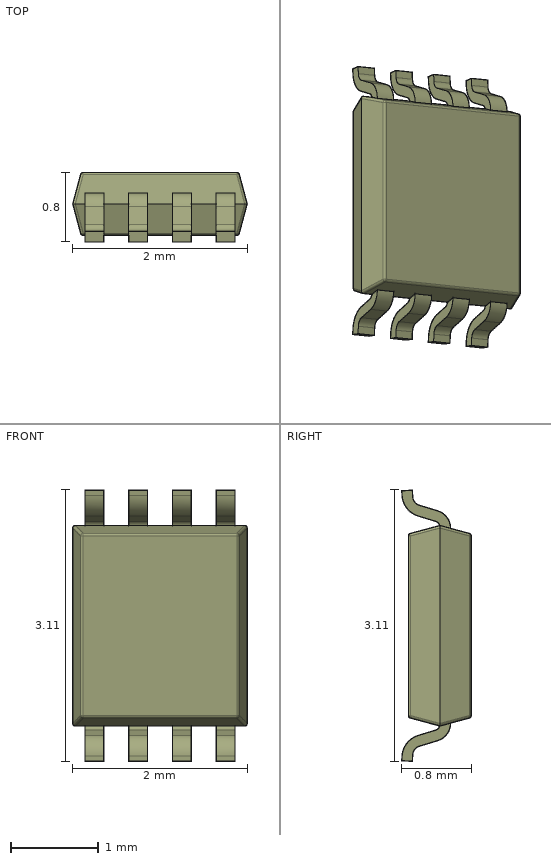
import cadquery as cq
import math

overall_length = 3.11

body_width = 2.0
body_length = 2.298
body_thickness = 0.72
draft_angle = 15.0
body_edge_radius = 0.03

leads_per_side = 4
lead_pitch = 0.5
lead_width = 0.218
lead_thickness = 0.125
standoff = 0.078
root_depth = 0.125
slope_angle = 17.0
foot_tilt = 4.0
foot_length = 0.195
shoulder_inner_radius = 0.068
shoulder_outer_radius = 0.215
foot_inner_radius = 0.1
foot_outer_radius = 0.267


def make_body_half(side):
    """Drafted half body on the +Y (side = 1) or -Y (side = -1) of the parting plane."""
    plane = cq.Plane(origin=(0, 0, 0), xDir=(1, 0, 0), normal=(0, side, 0))
    half = (
        cq.Workplane(plane)
        .rect(body_width, body_length)
        .extrude(body_thickness / 2, taper=draft_angle)
    )
    outer_edges = "not(<Y)" if side > 0 else "not(>Y)"
    return half.edges(outer_edges).fillet(body_edge_radius)


def direction(angle):
    """Unit vector in (Y, Z), turned by angle from -Y towards +Z."""
    radians = math.radians(angle)
    return -math.cos(radians), math.sin(radians)


def offset_corner(point, angle_in, angle_out, side):
    """Corner of a long strip face beside a middle-line corner; side 1 is the upper face, -1 the lower."""
    half_turn = math.radians(angle_out - angle_in) / 2
    reach = side * lead_thickness / 2 / math.cos(half_turn)
    along_y, along_z = direction((angle_in + angle_out) / 2)
    return point[0] + reach * along_z, point[1] - reach * along_y


def make_lead(x):
    """Lead on the +Z end of the body, centred at x."""
    root_angle = 90.0
    foot_angle = 90.0 - foot_tilt
    half_thickness = lead_thickness / 2

    tilt = math.radians(foot_tilt)
    tip = (
        -(body_thickness / 2 + standoff) + half_thickness * math.cos(tilt),
        overall_length / 2 - half_thickness * math.sin(tilt),
    )
    foot_y, foot_z = direction(foot_angle)
    foot_bend = (tip[0] - foot_length * foot_y, tip[1] - foot_length * foot_z)
    root_y = half_thickness
    slope_rise = (root_y - foot_bend[0]) * math.tan(math.radians(slope_angle))
    shoulder = (root_y, foot_bend[1] - slope_rise)
    root = (root_y, body_length / 2 - root_depth)

    runs = [
        (root, root_angle, root_angle),
        (shoulder, root_angle, slope_angle),
        (foot_bend, slope_angle, foot_angle),
        (tip, foot_angle, foot_angle),
    ]
    upper = [offset_corner(*run, 1) for run in runs]
    lower = [offset_corner(*run, -1) for run in runs]
    lead = (
        cq.Workplane("YZ", origin=(x - lead_width / 2, 0, 0))
        .polyline(upper + lower[::-1])
        .close()
        .extrude(lead_width)
    )

    bends = [
        (upper[1], shoulder_outer_radius),
        (lower[1], shoulder_inner_radius),
        (upper[2], foot_inner_radius),
        (lower[2], foot_outer_radius),
    ]
    for corner, radius in bends:
        edge = cq.selectors.NearestToPointSelector((x, *corner))
        lead = lead.edges("|X").edges(edge).fillet(radius)
    return lead


leads = []
for index in range(leads_per_side):
    lead_x = (index - (leads_per_side - 1) / 2) * lead_pitch
    top_lead = make_lead(lead_x)
    leads += [top_lead, top_lead.mirror("XY")]

body = make_body_half(1).union(make_body_half(-1))
for lead in leads:
    body = body.cut(lead)

result = cq.Compound.makeCompound([body.solids().val(), *[lead.solids().val() for lead in leads]])